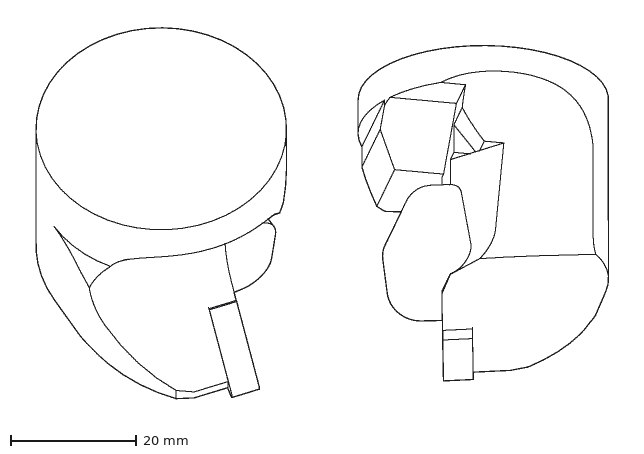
import cadquery as cq
import math


head_radius = 20.0
head_height = 42.4
reach = 59.85

lean_x = 0.118
lean_z = -0.097

flat_x = -13.0
runout_radius = 9.95
runout_z = -13.95
heel_radius = 5.0
heel_z = -29.05

tooth_top_z = -12.2
tooth_top_slope = math.tan(math.radians(60))
tooth_flat_end_x = 7.8
tooth_back_radius = 25.45
tooth_arc_end_x = 25.6
tooth_corner = (26.72, -10.05)
tooth_inner_y = 0.0

gullet_radius = 9.7
gullet_x = 22.55
gullet_z = -17.05
flank_angle = 38.3

bottom_z = -33.65
bottom_slope = -0.058
step_start = (10.15, -34.35)
step_end = (13.45, -34.1)
tooth_bottom_slope = -0.085

rake_y = 6.8
rake_slope = -0.22
wall_corner_x = -5.25
wall_edge_y = -0.6
wall_lean = 5.0
wall_top_z = -13.7
rear_wall_y = 6.5
rake_start_x = (rear_wall_y - rake_y) / rake_slope
undercut_top_z = -8.85
undercut_edge_y = 2.6
undercut_end_x = -8.0

flange_thickness = 6.0
block_start_x = -9.95
block_end_x = head_radius
block_face_run = 9.95
block_y = 17.95
block_bottom_z = -13.8
block_chamfer_y = 3.5
block_chamfer_z = 4.25
boss_y = 13.45
boss_start_x = -6.5
boss_end_x = 12.45
boss_top_z = -17.95
boss_bottom_z = -33.9
boss_lean_x = 3.0
boss_corner_radius = 5.0
boss_rim_radius = 3.0
boss_tilt = -7.0

insert_tip_x = 29.85
insert_bottom_z = -35.95
insert_edge = 15.95
insert_bottom_angle = 3.0
insert_thickness_y = 4.9
insert_nose_radius = 0.6


def rake_at(x):
    return rake_y + rake_slope * x


def slanted_prism(section):
    """Run a Y = 0 section both ways along the leaning direction."""
    run = cq.Vector(lean_x, 1, lean_z) * (2 * reach)
    wire = section.wire().val().translate(run * -0.5)
    return cq.Workplane(cq.Solid.extrudeLinear(wire, [], run))


def plan_prism(points, top_z, bottom_z):
    return cq.Workplane("XY", origin=(0, 0, bottom_z)).polyline(points).close().extrude(top_z - bottom_z)


def arc_y(x):
    """Y of the tooth back arc, tangent to the flat at the front of the head."""
    along = x - tooth_flat_end_x
    return -head_radius + tooth_back_radius - math.sqrt(tooth_back_radius**2 - along**2)


def make_blank():
    """Round head joined to the tooth block."""
    head = cq.Workplane("XY").circle(head_radius).extrude(-head_height)
    arc_mid_x = (tooth_flat_end_x + tooth_arc_end_x) / 2
    tip_y = rake_at(insert_tip_x)
    tip_x = tooth_corner[0] + lean_x * (tip_y - tooth_corner[1])
    tooth = (
        cq.Workplane("XY", origin=(0, 0, tooth_top_z))
        .moveTo(0, tooth_inner_y)
        .lineTo(0, -head_radius)
        .lineTo(tooth_flat_end_x, -head_radius)
        .threePointArc((arc_mid_x, arc_y(arc_mid_x)), (tooth_arc_end_x, arc_y(tooth_arc_end_x)))
        .lineTo(*tooth_corner)
        .lineTo(tip_x, tip_y)
        .close()
        .extrude(-head_height - tooth_top_z)
    )
    cone_radius = head_radius + (head_height + tooth_top_z) / tooth_top_slope
    conical_top = (
        cq.Workplane("XZ")
        .moveTo(0, tooth_top_z)
        .lineTo(head_radius, tooth_top_z)
        .lineTo(cone_radius, -head_height)
        .lineTo(0, -head_height)
        .close()
        .revolve(360, (0, 0), (0, 1))
    )
    return head.union(tooth.intersect(conical_top))


def make_left_relief():
    """Material outside the left flat, its run-out and its heel rounding."""
    centre_x = flat_x - runout_radius
    diagonal = math.sqrt(0.5)
    heel_x = flat_x + heel_radius
    heel_bottom = heel_z - heel_radius
    return (
        cq.Workplane("XZ", origin=(0, reach, 0))
        .moveTo(centre_x, runout_z + runout_radius)
        .threePointArc(
            (centre_x + diagonal * runout_radius, runout_z + diagonal * runout_radius),
            (flat_x, runout_z),
        )
        .lineTo(flat_x, heel_z)
        .threePointArc(
            (heel_x - diagonal * heel_radius, heel_z - diagonal * heel_radius),
            (heel_x, heel_bottom),
        )
        .lineTo(heel_x, -reach)
        .lineTo(centre_x, -reach)
        .close()
        .extrude(2 * reach)
    )


def make_gullet():
    """Round gullet running tangentially into the sloping tooth top."""
    angle = math.radians(flank_angle)
    tangent_x = gullet_x - gullet_radius * math.sin(angle)
    tangent_z = gullet_z - gullet_radius * math.cos(angle)
    top = (gullet_x, gullet_z + gullet_radius)
    end_z = tangent_z - (reach - tangent_x) * math.tan(angle)
    section = (
        cq.Workplane("XZ")
        .moveTo(*top)
        .threePointArc((gullet_x - gullet_radius, gullet_z), (tangent_x, tangent_z))
        .lineTo(reach, end_z)
        .lineTo(reach, top[1])
        .close()
    )
    return slanted_prism(section)


def make_bottom_trim():
    """Material below the sloping bottom and the slightly raised tooth underside."""
    left_z = bottom_z - bottom_slope * reach
    right_z = step_end[1] + tooth_bottom_slope * (reach - step_end[0])
    section = cq.Workplane("XZ").polyline(
        [(-reach, left_z), step_start, step_end, (reach, right_z), (reach, -reach), (-reach, -reach)]
    ).close()
    return slanted_prism(section)


def rear_outline(plane_z):
    """Plan outline behind the angled wall and the rake plane at one height."""
    edge_y = wall_edge_y + (wall_top_z - plane_z) * math.tan(math.radians(wall_lean))
    slope = (rear_wall_y - edge_y) / (wall_corner_x - flat_x)
    left_y = rear_wall_y + slope * (-head_radius - wall_corner_x)
    points = [
        (-head_radius, left_y, plane_z),
        (wall_corner_x, rear_wall_y, plane_z),
        (rake_start_x, rear_wall_y, plane_z),
        (reach, rake_at(reach), plane_z),
        (reach, reach, plane_z),
        (-head_radius, reach, plane_z),
    ]
    return cq.Wire.makePolygon([cq.Vector(*point) for point in points], close=True)


def make_rear_cut():
    """Space behind the rear walls and the rake plane, below the flange."""
    lower = cq.Workplane(cq.Solid.makeLoft([rear_outline(wall_top_z), rear_outline(-head_height)], True))
    upper = plan_prism(
        [
            (-head_radius, rear_wall_y),
            (rake_start_x, rear_wall_y),
            (reach, rake_at(reach)),
            (reach, reach),
            (-head_radius, reach),
        ],
        -flange_thickness,
        wall_top_z,
    )
    undercut = (
        cq.Workplane("YZ", origin=(-head_radius, 0, 0))
        .polyline([(rear_wall_y, undercut_top_z), (undercut_edge_y, wall_top_z), (rear_wall_y, wall_top_z)])
        .close()
        .extrude(undercut_end_x + head_radius)
    )
    return lower.union(upper).union(undercut)


def make_rear_block(blank):
    """Chamfered overhang left under the flange."""
    section = [
        (0, -flange_thickness),
        (block_y, -flange_thickness),
        (block_y, block_bottom_z + block_chamfer_z),
        (block_y - block_chamfer_y, block_bottom_z),
        (0, block_bottom_z),
    ]
    length = block_end_x - block_start_x
    block = cq.Workplane("YZ", origin=(block_start_x, 0, 0)).polyline(section).close().extrude(length)
    sloping_face = (
        cq.Workplane("XZ")
        .polyline(
            [
                (block_start_x, -flange_thickness),
                (block_end_x, -flange_thickness),
                (block_end_x, block_bottom_z),
                (block_start_x + block_face_run, block_bottom_z),
            ]
        )
        .close()
        .extrude(-head_radius)
    )
    return block.intersect(sloping_face).intersect(blank)


def make_boss():
    """Rounded boss standing out from the rear wall."""
    section = [
        (boss_start_x, boss_top_z),
        (boss_end_x, boss_top_z),
        (boss_end_x, boss_bottom_z),
        (boss_start_x - boss_lean_x, boss_bottom_z),
    ]
    boss = cq.Workplane("XZ").polyline(section).close().extrude(-boss_y)
    boss = boss.faces(">Y").edges("|X").fillet(boss_corner_radius)
    boss = boss.faces("<X").edges("not(<Y)").fillet(boss_rim_radius)
    centre_y = boss_y / 2
    centre_z = (boss_top_z + boss_bottom_z) / 2
    return boss.rotate((0, centre_y, centre_z), (1, centre_y, centre_z), boss_tilt)


def make_insert():
    """Rhombic cutting plate lying against the rake plane."""
    low = math.radians(insert_bottom_angle)
    high = math.radians(flank_angle)
    half_nose = (high - low) / 2
    mean = (high + low) / 2
    centre_x = insert_tip_x - insert_nose_radius
    centre_z = insert_bottom_z + insert_nose_radius
    apex_distance = insert_nose_radius / math.sin(half_nose)
    apex = cq.Vector(
        centre_x + apex_distance * math.cos(mean),
        centre_z - apex_distance * math.sin(mean),
    )
    bottom_way = cq.Vector(-math.cos(low), math.sin(low))
    top_way = cq.Vector(-math.cos(high), math.sin(high))
    nose_setback = insert_nose_radius / math.tan(half_nose)
    lower_end = apex + bottom_way * insert_edge
    upper_end = apex + top_way * insert_edge
    far_end = lower_end + top_way * insert_edge
    nose_start = apex + bottom_way * nose_setback
    nose_end = apex + top_way * nose_setback
    nose_middle = (
        centre_x + insert_nose_radius * math.cos(mean),
        centre_z - insert_nose_radius * math.sin(mean),
    )
    section = (
        cq.Workplane("XZ")
        .moveTo(nose_end.x, nose_end.y)
        .lineTo(upper_end.x, upper_end.y)
        .lineTo(far_end.x, far_end.y)
        .lineTo(lower_end.x, lower_end.y)
        .lineTo(nose_start.x, nose_start.y)
        .threePointArc(nose_middle, (nose_end.x, nose_end.y))
        .close()
    )
    plate = slanted_prism(section)
    slab = plan_prism(
        [
            (-reach, rake_at(-reach)),
            (reach, rake_at(reach)),
            (reach, rake_at(reach) - insert_thickness_y),
            (-reach, rake_at(-reach) - insert_thickness_y),
        ],
        0,
        -reach,
    )
    return plate.intersect(slab)


blank = make_blank()
insert = make_insert()
housing = (
    blank.cut(make_rear_cut())
    .union(make_rear_block(blank))
    .union(make_boss())
    .cut(make_left_relief())
    .cut(make_gullet())
    .cut(make_bottom_trim())
    .cut(insert)
)

result = cq.Compound.makeCompound([*housing.vals(), insert.val()])